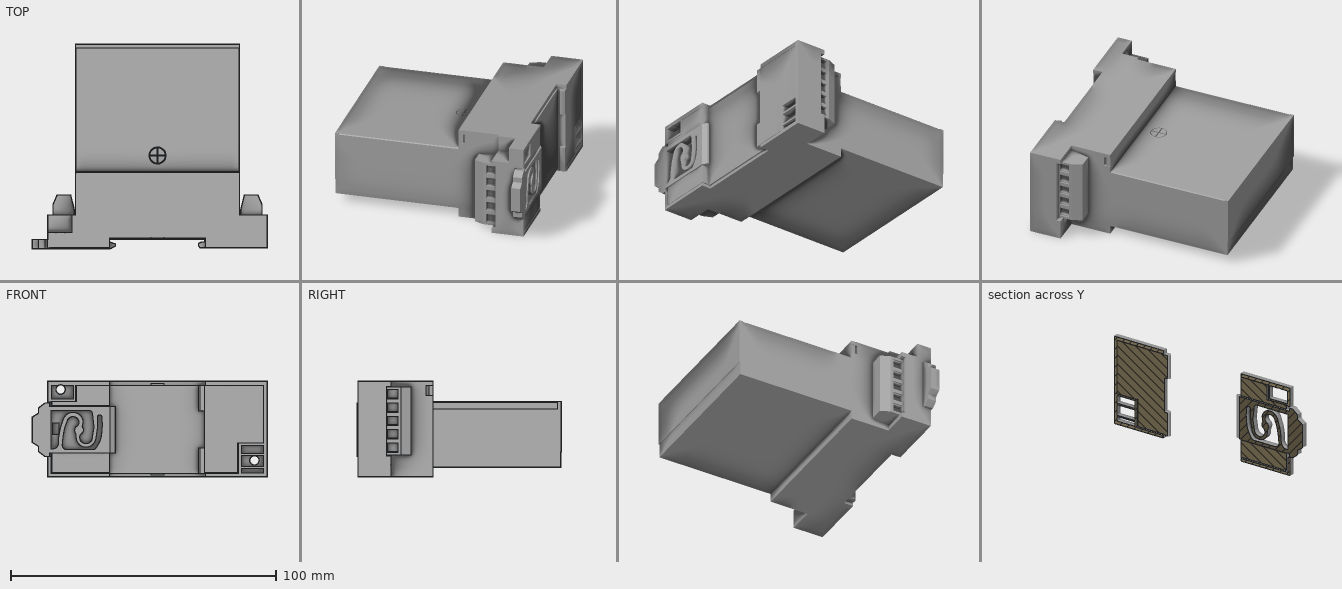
import cadquery as cq


BASE_HEIGHT = 36.1
BASE_HALF_WIDTH = 41.4
WING_DEPTH = 12.5
BASE_DEPTH = 28.35
CASE_WIDTH = 61.9
CASE_HALF_WIDTH = CASE_WIDTH / 2
RAIL_SLOT_WIDTH = 36.1
RAIL_HALF_WIDTH = RAIL_SLOT_WIDTH / 2
RAIL_DEPTH = 3.8

COVER_LEFT = -39.7
COVER_RIGHT = 39.95
COVER_BOTTOM = 1.2
COVER_TOP = 34.5
COVER_BACK = 6.2
COVER_FRONT = 0.2
COVER_RAIL_FACE = 3.2
COVER_GAP = 0.35
COVER_RAIL_HALF_WIDTH = 17.7
CORNER_HALF_WIDTH = 30.6
LEFT_CORNER_BOTTOM = 28.4
RIGHT_CORNER_TOP = 12.8
HOOK_HEIGHT = 9.7
HOOK_BACK = 2.3
HOOK_SHOULDER = 16.7
HOOK_TIP = 15.4
HOOK_TIP_FRONT = 0.8
HOOK_TIP_BACK = 1.8
HOOK_BEVEL_START = 16.0
TAB_WIDTH = 5.05
TAB_HEIGHT = 0.6
RAMP_LEFT = -39.6
RAMP_RIGHT = -37.1
RAMP_BOTTOM = 15.9
RAMP_TOP = 20.3
RAMP_DEPTH = 2.4

PASSAGE_DIAMETER = 3.45
PASSAGE_X = 36.5
LEFT_PASSAGE_Z = 32.9
RIGHT_PASSAGE_Z = 6.2
POCKET_DEPTH = 3.5
POCKET_OUTER = 39.9
POCKET_INNER = 31.7
LEFT_POCKET_Z = (29.3, COVER_TOP)
RIGHT_POCKETS_Z = ((8.9, 11.9), (3.9, 8.1), (1.5, 3.2))
NOTCH_FRONT = 5.8
NOTCH_BOTTOM = 29.9
NOTCH_WIDTH = 9.2

GRIP_FRONT = 25.8
GRIP_STEP = 26.75
GRIP_BOTTOM = 30.65
GRIP_TOP = 34.5
GRIP_DEPTH = 0.2
GRIP_GROOVE_DEPTH = 1.15

PLUG_LENGTH = 25.6
PLUG_BOTTOM = 2.2
PLUG_FRONT = 10.9
PLUG_SHOULDER_OUT = 16.3
PLUG_SHOULDER_IN = 14.3
PLUG_BACK = 20.0
PLUG_OUTER = 39.4
PLUG_INNER = 31.3
PLUG_BACK_OUTER = 37.8
PLUG_BACK_INNER = 32.7
PLUG_CLEARANCE = 0.3
TERMINAL_COUNT = 5
TERMINAL_PITCH = 5.05
TERMINAL_HEIGHT = 3.5
TERMINAL_FRONT = 11.25
TERMINAL_BACK = 15.15
TERMINAL_DEPTH = 2.2
TERMINAL_MOUTH = 0.5
TERMINAL_LIP = 0.35

CASE_BOTTOM = 3.5
CASE_TOP = 28.4
CASE_BACK = 76.5
REAR_PLATE_BACK = 76.8
REAR_PLATE_BOTTOM = 9.4
LID_BACK = 75.3
LID_BOTTOM = 25.5
LID_CHAMFER = 0.35
SCREW_Y = 34.8
SCREW_HOLE_RADIUS = 3.2
SCREW_RADIUS = 2.9
SCREW_SLOT_WIDTH = 0.4
SCREW_SLOT_DEPTH = 0.5

FOOT_FRONT = -0.35
FOOT_Z = 17.7
FOOT_HALF_HEIGHT = 8.8
FOOT_LEFT = -47.2
FOOT_TIP = -15.8
FOOT_TIP_FRONT = 0.8
FOOT_TIP_BACK = 1.5
FOOT_BEVEL_START = -17.8
FOOT_BEVEL_END = (-16.2, 0.5)
FLANGE_RIGHT = -40.75
FLANGE_HALF_HEIGHT = 10.1
FLANGE_SHOULDER = -42.4
FLANGE_STEP_X = -44.8
FLANGE_STEP_OUTER = 8.2
FLANGE_STEP_INNER = 6.3
FLANGE_END_HALF_HEIGHT = 4.8
FOOT_WINDOW_LEFT = -40.0
WINDOW_TOP = 24.9
UPPER_WINDOW_BOTTOM = 10.5
LOWER_WINDOW_BOTTOM = 10.3


def block(x_range, y_range, z_range):
    """Box between pairs of limits along the three axes."""
    sides = [high - low for low, high in (x_range, y_range, z_range)]
    corner = [limits[0] for limits in (x_range, y_range, z_range)]
    return cq.Workplane("XY").box(*sides, centered=False).translate(tuple(corner))


def turned_half(solid):
    """Copy turned half a turn about the centre line of the base that runs along Y."""
    middle = BASE_HEIGHT / 2
    return solid.rotate((0, 0, middle), (0, 1, middle), 180)


def mirrored_points(points):
    """Points of a half outline followed by their mirror images in X, in reverse order."""
    return points + [(-x, y) for x, y in reversed(points)]


def passage(x, z):
    """Screw passage along Y through a base wing."""
    return cq.Workplane("XZ").center(x, z).circle(PASSAGE_DIAMETER / 2).extrude(-WING_DEPTH)


def cover_opening():
    """Space in the base shell that takes the rail cover, apart from the two corner blocks."""
    depth = (0, COVER_BACK)
    opening = block((COVER_LEFT - COVER_GAP, COVER_RIGHT), depth, (COVER_BOTTOM, COVER_TOP))
    left_corner = block(
        (COVER_LEFT - COVER_GAP, -CORNER_HALF_WIDTH - COVER_GAP),
        depth,
        (LEFT_CORNER_BOTTOM, COVER_TOP),
    )
    right_corner = block(
        (CORNER_HALF_WIDTH, COVER_RIGHT), depth, (COVER_BOTTOM, RIGHT_CORNER_TOP)
    )
    return opening.cut(left_corner).cut(right_corner)


def cover_tabs():
    """Boxes above and below the middle of the cover that key it into the base shell."""
    width = (-TAB_WIDTH / 2, TAB_WIDTH / 2)
    depth = (RAIL_DEPTH, COVER_BACK)
    upper = block(width, depth, (COVER_TOP, COVER_TOP + TAB_HEIGHT))
    lower = block(width, depth, (COVER_BOTTOM - TAB_HEIGHT, COVER_BOTTOM))
    return upper.union(lower)


def foot_opening():
    """Cut through the left side wall of the base for the foot's flange."""
    return block(
        (-BASE_HALF_WIDTH, COVER_LEFT - COVER_GAP),
        (0, COVER_RAIL_FACE + COVER_GAP),
        (FOOT_Z - FLANGE_HALF_HEIGHT, FOOT_Z + FLANGE_HALF_HEIGHT + COVER_GAP),
    )


def plug_recess():
    """Recess in the rear of the left wing for a terminal plug, open to the side."""
    return block(
        (-BASE_HALF_WIDTH, -CASE_HALF_WIDTH),
        (PLUG_FRONT, WING_DEPTH),
        (PLUG_BOTTOM - PLUG_CLEARANCE, PLUG_BOTTOM + PLUG_LENGTH + PLUG_CLEARANCE),
    )


def grip_recess():
    """Stepped recess at the rear of the left side of the base."""
    height = (GRIP_BOTTOM, GRIP_TOP)
    side = -CASE_HALF_WIDTH
    shallow = block((side, side + GRIP_DEPTH), (GRIP_FRONT, BASE_DEPTH), height)
    groove = block((side, side + GRIP_GROOVE_DEPTH), (GRIP_FRONT, GRIP_STEP), height)
    return shallow.union(groove)


def make_base():
    outline = mirrored_points(
        [
            (RAIL_HALF_WIDTH, RAIL_DEPTH),
            (RAIL_HALF_WIDTH, 0),
            (BASE_HALF_WIDTH, 0),
            (BASE_HALF_WIDTH, WING_DEPTH),
            (CASE_HALF_WIDTH, WING_DEPTH),
            (CASE_HALF_WIDTH, BASE_DEPTH),
        ]
    )
    base = cq.Workplane("XY").polyline(outline).close().extrude(BASE_HEIGHT)
    base = base.cut(cover_opening()).cut(cover_tabs()).cut(foot_opening())
    base = base.cut(plug_recess()).cut(turned_half(plug_recess()))
    base = base.cut(grip_recess()).cut(grip_recess().mirror("YZ"))
    base = base.cut(
        block(
            (-BASE_HALF_WIDTH, NOTCH_WIDTH - BASE_HALF_WIDTH),
            (NOTCH_FRONT, WING_DEPTH),
            (NOTCH_BOTTOM, BASE_HEIGHT),
        )
    )
    base = base.cut(block((-POCKET_OUTER, -POCKET_INNER), (0, POCKET_DEPTH), LEFT_POCKET_Z))
    for limits in RIGHT_POCKETS_Z:
        base = base.cut(block((POCKET_INNER, POCKET_OUTER), (0, POCKET_DEPTH), limits))
    base = base.cut(passage(-PASSAGE_X, LEFT_PASSAGE_Z))
    return base.cut(passage(PASSAGE_X, RIGHT_PASSAGE_Z))


def rail_hooks():
    """Fixed hooks at the right of the rail, one at the cover's upper and one at its lower end."""
    profile = (
        cq.Workplane("XY")
        .polyline(
            [
                (COVER_RAIL_HALF_WIDTH, HOOK_BACK),
                (HOOK_SHOULDER, HOOK_BACK),
                (HOOK_TIP, HOOK_TIP_BACK),
                (HOOK_TIP, HOOK_TIP_FRONT),
                (HOOK_BEVEL_START, 0),
                (COVER_RAIL_HALF_WIDTH, 0),
            ]
        )
        .close()
        .extrude(HOOK_HEIGHT)
    )
    lower = profile.translate((0, 0, COVER_BOTTOM))
    upper = profile.translate((0, 0, COVER_TOP - HOOK_HEIGHT))
    return lower.union(upper)


def ramp_recess():
    """Recess in the floor of the foot channel that deepens to the left."""
    return (
        cq.Workplane("XY")
        .polyline(
            [
                (RAMP_LEFT, COVER_RAIL_FACE),
                (RAMP_RIGHT, COVER_RAIL_FACE),
                (RAMP_LEFT, COVER_RAIL_FACE + RAMP_DEPTH),
            ]
        )
        .close()
        .extrude(RAMP_TOP - RAMP_BOTTOM)
        .translate((0, 0, RAMP_BOTTOM))
    )


def make_cover():
    cover = cover_opening()
    wing_depth = (0, COVER_RAIL_FACE)
    rail_channel = (-COVER_RAIL_HALF_WIDTH - COVER_GAP, COVER_RAIL_HALF_WIDTH)
    cover = cover.cut(block(rail_channel, wing_depth, (COVER_BOTTOM, COVER_TOP)))
    left_end = COVER_LEFT - COVER_GAP
    lower_gap = (COVER_BOTTOM, COVER_BOTTOM + COVER_GAP)
    gaps = [
        ((left_end, COVER_LEFT), (COVER_BOTTOM, LEFT_CORNER_BOTTOM)),
        ((left_end, rail_channel[0]), lower_gap),
        ((rail_channel[1], CORNER_HALF_WIDTH), lower_gap),
        (
            (-CORNER_HALF_WIDTH - COVER_GAP, -CORNER_HALF_WIDTH),
            (LEFT_CORNER_BOTTOM, COVER_TOP),
        ),
        (
            (CORNER_HALF_WIDTH - COVER_GAP, CORNER_HALF_WIDTH),
            (COVER_BOTTOM, RIGHT_CORNER_TOP),
        ),
    ]
    for x_range, z_range in gaps:
        cover = cover.cut(block(x_range, wing_depth, z_range))
    foot_channel = block(
        (left_end, rail_channel[0]),
        wing_depth,
        (FOOT_Z - FOOT_HALF_HEIGHT, FOOT_Z + FOOT_HALF_HEIGHT + COVER_GAP),
    )
    cover = cover.cut(foot_channel)
    cover = cover.cut(ramp_recess())
    cover = cover.cut(block((left_end, COVER_RIGHT), (0, COVER_FRONT), (COVER_BOTTOM, COVER_TOP)))
    return cover.union(cover_tabs()).union(rail_hooks())


def upper_spring_window():
    """Window above the foot's S-shaped spring."""
    return (
        cq.Workplane("XZ")
        .moveTo(FOOT_WINDOW_LEFT, WINDOW_TOP)
        .lineTo(-25.3, WINDOW_TOP)
        .threePointArc((-24.7, 24.45), (-24.45, 23.5))
        .lineTo(-23.9, 18.7)
        .lineTo(-24.5, 15.0)
        .threePointArc((-27.0, 12.5), (-29.3, 15.0))
        .threePointArc((-29.1, 15.9), (-28.35, 16.5))
        .threePointArc((-27.9, 17.7), (-28.35, 18.9))
        .lineTo(-28.0, 20.9)
        .threePointArc((-31.5, 24.3), (-35.5, 21.6))
        .lineTo(-36.6, 18.4)
        .lineTo(-37.2, 15.0)
        .lineTo(-37.2, 13.0)
        .threePointArc((-37.7, 11.4), (-39.2, UPPER_WINDOW_BOTTOM))
        .lineTo(FOOT_WINDOW_LEFT, UPPER_WINDOW_BOTTOM)
        .close()
        .extrude(FOOT_FRONT - COVER_RAIL_FACE)
        .translate((0, FOOT_FRONT, 0))
    )


def lower_spring_window():
    """Window below the foot's S-shaped spring."""
    return (
        cq.Workplane("XZ")
        .moveTo(-22.6, 22.8)
        .lineTo(-22.6, 18.7)
        .lineTo(-23.2, 14.35)
        .threePointArc((-26.75, 11.2), (-30.6, 13.9))
        .lineTo(-30.7, 16.1)
        .threePointArc((-31.2, 17.7), (-30.65, 19.0))
        .threePointArc((-29.85, 19.6), (-29.6, 20.55))
        .threePointArc((-31.8, 22.7), (-34.0, 21.0))
        .lineTo(-35.0, 18.4)
        .lineTo(-35.6, 15.0)
        .lineTo(-35.9, 12.1)
        .threePointArc((-35.4, 10.8), (-34.3, LOWER_WINDOW_BOTTOM))
        .lineTo(-23.7, LOWER_WINDOW_BOTTOM)
        .threePointArc((-21.7, 13.4), (-21.0, 16.6))
        .lineTo(-20.7, 19.6)
        .lineTo(-21.0, 22.8)
        .threePointArc((-21.8, 23.3), (-22.6, 22.8))
        .close()
        .extrude(FOOT_FRONT - COVER_RAIL_FACE)
        .translate((0, FOOT_FRONT, 0))
    )


def make_foot():
    slide = (
        cq.Workplane("XY")
        .polyline(
            [
                (FLANGE_RIGHT, FOOT_FRONT),
                (FOOT_BEVEL_START, FOOT_FRONT),
                FOOT_BEVEL_END,
                (FOOT_TIP, FOOT_TIP_FRONT),
                (FOOT_TIP, FOOT_TIP_BACK),
                (-RAIL_HALF_WIDTH, HOOK_BACK),
                (-RAIL_HALF_WIDTH, COVER_RAIL_FACE),
                (FLANGE_RIGHT, COVER_RAIL_FACE),
            ]
        )
        .close()
        .extrude(FOOT_HALF_HEIGHT, both=True)
        .translate((0, 0, FOOT_Z))
    )
    half_flange = [
        (FLANGE_RIGHT, FLANGE_HALF_HEIGHT),
        (FLANGE_SHOULDER, FLANGE_HALF_HEIGHT),
        (FLANGE_STEP_X, FLANGE_STEP_OUTER),
        (FLANGE_STEP_X, FLANGE_STEP_INNER),
        (FOOT_LEFT, FLANGE_END_HALF_HEIGHT),
    ]
    flange = (
        cq.Workplane("XZ")
        .polyline(half_flange + [(x, -z) for x, z in reversed(half_flange)])
        .close()
        .extrude(FOOT_FRONT - COVER_RAIL_FACE)
        .translate((0, FOOT_FRONT, FOOT_Z))
    )
    return slide.union(flange).cut(upper_spring_window()).cut(lower_spring_window())


def make_left_plug():
    outline = [
        (-PLUG_OUTER, PLUG_FRONT),
        (-PLUG_INNER, PLUG_FRONT),
        (-PLUG_INNER, PLUG_SHOULDER_IN),
        (-PLUG_BACK_INNER, PLUG_BACK),
        (-PLUG_BACK_OUTER, PLUG_BACK),
        (-PLUG_OUTER, PLUG_SHOULDER_OUT),
    ]
    plug = cq.Workplane("XY").polyline(outline).close().extrude(PLUG_LENGTH)
    plug = plug.translate((0, 0, PLUG_BOTTOM))
    for index in range(TERMINAL_COUNT):
        offset = (index - (TERMINAL_COUNT - 1) / 2) * TERMINAL_PITCH
        bottom = PLUG_BOTTOM + PLUG_LENGTH / 2 + offset - TERMINAL_HEIGHT / 2
        top = bottom + TERMINAL_HEIGHT
        mouth = block(
            (-PLUG_OUTER, TERMINAL_MOUTH - PLUG_OUTER),
            (TERMINAL_FRONT, TERMINAL_BACK),
            (bottom, top),
        )
        socket = block(
            (-PLUG_OUTER, TERMINAL_DEPTH - PLUG_OUTER),
            (TERMINAL_FRONT, TERMINAL_BACK),
            (bottom, top - TERMINAL_LIP),
        )
        plug = plug.cut(mouth).cut(socket)
    return plug


def make_case():
    sides = (-CASE_HALF_WIDTH, CASE_HALF_WIDTH)
    case = block(sides, (BASE_DEPTH, CASE_BACK), (CASE_BOTTOM, CASE_TOP))
    return case.cut(block(sides, (BASE_DEPTH, LID_BACK), (LID_BOTTOM, CASE_TOP)))


def make_rear_plate():
    return block(
        (-CASE_HALF_WIDTH, CASE_HALF_WIDTH),
        (CASE_BACK, REAR_PLATE_BACK),
        (REAR_PLATE_BOTTOM, CASE_TOP),
    )


def make_lid():
    lid = block(
        (-CASE_HALF_WIDTH, CASE_HALF_WIDTH), (BASE_DEPTH, LID_BACK), (LID_BOTTOM, CASE_TOP)
    )
    lid = lid.faces(">Z").edges("<X or >X or <Y").chamfer(LID_CHAMFER)
    hole = cq.Workplane("XY").center(0, SCREW_Y).circle(SCREW_HOLE_RADIUS).extrude(CASE_TOP)
    return lid.cut(hole)


def make_screw():
    screw = (
        cq.Workplane("XY")
        .workplane(offset=LID_BOTTOM)
        .center(0, SCREW_Y)
        .circle(SCREW_RADIUS)
        .extrude(CASE_TOP - LID_BOTTOM)
    )
    slot = block(
        (-SCREW_RADIUS, SCREW_RADIUS),
        (SCREW_Y - SCREW_SLOT_WIDTH / 2, SCREW_Y + SCREW_SLOT_WIDTH / 2),
        (CASE_TOP - SCREW_SLOT_DEPTH, CASE_TOP),
    )
    crossing = slot.rotate((0, SCREW_Y, 0), (0, SCREW_Y, 1), 90)
    return screw.cut(slot).cut(crossing)


base = make_base()
cover = make_cover()
foot = make_foot()
left_plug = make_left_plug()
plugs = [left_plug, turned_half(left_plug)]
case = make_case()
rear_plate = make_rear_plate()
lid = make_lid()
screw = make_screw()

result = cq.Compound.makeCompound(
    [
        base.val(),
        cover.val(),
        foot.val(),
        *[plug.val() for plug in plugs],
        case.val(),
        rear_plate.val(),
        lid.val(),
        screw.val(),
    ]
)